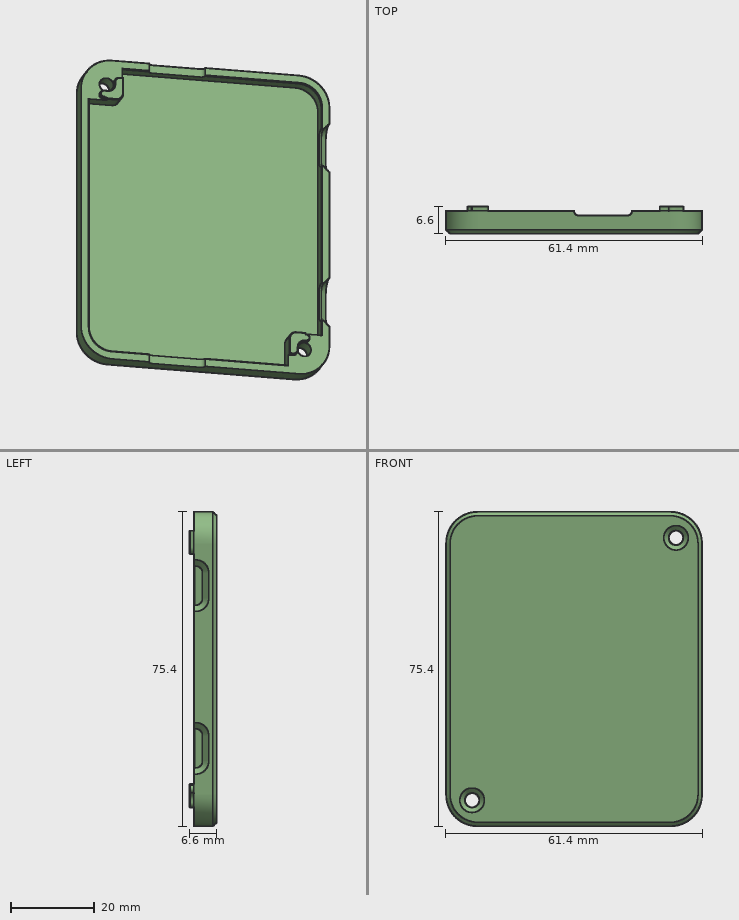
import cadquery as cq
import math

width = 61.4
height = 75.4
thickness = 5.5
corner_radius = 7.6
edge_chamfer = 1.0

wall = 2.0
floor = 2.0
rim_chamfer = 0.2

hole_inset = 6.25
hole_diameter = 3.4
countersink_diameter = 5.9
hole_x = width / 2 - hole_inset
hole_z = height / 2 - hole_inset

boss_height = 1.1
boss_inner = 3.9
boss_outer = 1.7
boss_hole_clearance = 0.1
boss_corner_radius = 1.65
boss_tip_radius = 0.9
boss_nose_radius = 1.1
boss_edge_chamfer = 0.19
upper_tip_reach = 1.8
lower_tip_reach = 1.1

opening_centers = (20.0, -19.0)
opening_length = 12.4
opening_depth = 3.55
opening_radius = 3.1
flare = 1.5

channel_x = 6.9
channel_width = 13.8
channel_depth = 1.05
channel_corner_radius = 1.0


def turned_about_y(body, angle):
    return body.rotate((0, 0, 0), (0, 1, 0), angle)


def rounded_rectangle(length, breadth, radius):
    return cq.Sketch().rect(length, breadth).vertices().fillet(radius)


def make_plate():
    blank = cq.Workplane("XZ").rect(width, height).extrude(-thickness)
    return blank.edges("|Y").fillet(corner_radius).faces("<Y").chamfer(edge_chamfer)


def make_screw_block():
    """Solid left in the +X +Z corner of the cavity, flush with the mating face."""
    size = hole_inset + boss_inner
    return (
        cq.Workplane("XZ")
        .center((width - size) / 2, (height - size) / 2)
        .rect(size, size)
        .extrude(-thickness)
        .edges("|Y and <X and <Z")
        .fillet(boss_corner_radius)
    )


def make_cavity():
    outline = rounded_rectangle(width - 2 * wall, height - 2 * wall, corner_radius - wall)
    pocket = cq.Workplane("XZ", origin=(0, floor, 0)).placeSketch(outline).extrude(floor - thickness)
    rim = (
        cq.Workplane("XZ", origin=(0, thickness - rim_chamfer, 0))
        .placeSketch(outline)
        .extrude(-rim_chamfer, taper=-45)
    )
    cavity = pocket.union(rim)
    for turn in (0, 180):
        cavity = cavity.cut(turned_about_y(make_screw_block(), turn))
    return cavity


def make_opening(center_z):
    """Rounded slot centred on the mating face, with a 45 degree flare at the outside."""

    def slot(offset):
        outline = rounded_rectangle(
            2 * (opening_depth - offset), opening_length - 2 * offset, opening_radius - offset
        )
        return cq.Workplane("YZ", origin=(-width / 2, thickness, center_z)).placeSketch(outline)

    return slot(flare).extrude(wall).union(slot(0).extrude(flare, taper=45))


def make_channel():
    return (
        cq.Workplane("XY", origin=(channel_x, thickness, 0))
        .rect(channel_width, 2 * channel_depth)
        .extrude(height, both=True)
        .edges("|Z")
        .fillet(channel_corner_radius)
    )


def make_screw_hole():
    """Bore and 90 degree countersink in the +X +Z corner."""
    bore = cq.Workplane("XZ", origin=(hole_x, 0, hole_z)).circle(hole_diameter / 2).extrude(-thickness)
    rim_radius = countersink_diameter / 2
    cone = cq.Solid.makeCone(
        rim_radius, 0, rim_radius, pnt=cq.Vector(hole_x, 0, hole_z), dir=cq.Vector(0, 1, 0)
    )
    return bore.union(cq.Workplane(cone))


def make_boss(tip_reach):
    """Hook around the +X +Z hole; tip_reach is how far its round tip passes the hole axis."""
    bore_radius = hole_diameter / 2 + boss_hole_clearance
    bore_diagonal = bore_radius * math.sqrt(0.5)
    corner_start = boss_inner - boss_corner_radius
    corner_middle = corner_start + boss_corner_radius * math.sqrt(0.5)
    tip_x = boss_tip_radius - tip_reach
    tip_z = bore_radius + boss_tip_radius
    nose_x = bore_radius + boss_nose_radius
    nose_z = boss_nose_radius - boss_outer
    nose_bend = boss_nose_radius * math.sqrt(0.5)

    def at(inward, down):
        return (hole_x - inward, hole_z - down)

    outline = (
        cq.Workplane("XZ", origin=(0, thickness, 0))
        .moveTo(*at(boss_inner, -boss_outer))
        .lineTo(*at(boss_inner, corner_start))
        .threePointArc(at(corner_middle, corner_middle), at(corner_start, boss_inner))
        .lineTo(*at(0, boss_inner))
        .lineTo(*at(tip_x, tip_z + boss_tip_radius))
        .threePointArc(at(-tip_reach, tip_z), at(tip_x, bore_radius))
        .lineTo(*at(0, bore_radius))
        .threePointArc(at(bore_diagonal, bore_diagonal), at(bore_radius, 0))
        .lineTo(*at(bore_radius, nose_z))
        .threePointArc(at(nose_x - nose_bend, nose_z - nose_bend), at(nose_x, -boss_outer))
        .close()
    )
    return outline.extrude(-boss_height).faces(">Y").chamfer(boss_edge_chamfer)


result = make_plate().cut(make_cavity()).cut(make_channel())
for opening_z in opening_centers:
    result = result.cut(make_opening(opening_z))

for turn, reach in ((0, upper_tip_reach), (180, lower_tip_reach)):
    result = result.cut(turned_about_y(make_screw_hole(), turn))
    result = result.union(turned_about_y(make_boss(reach), turn))